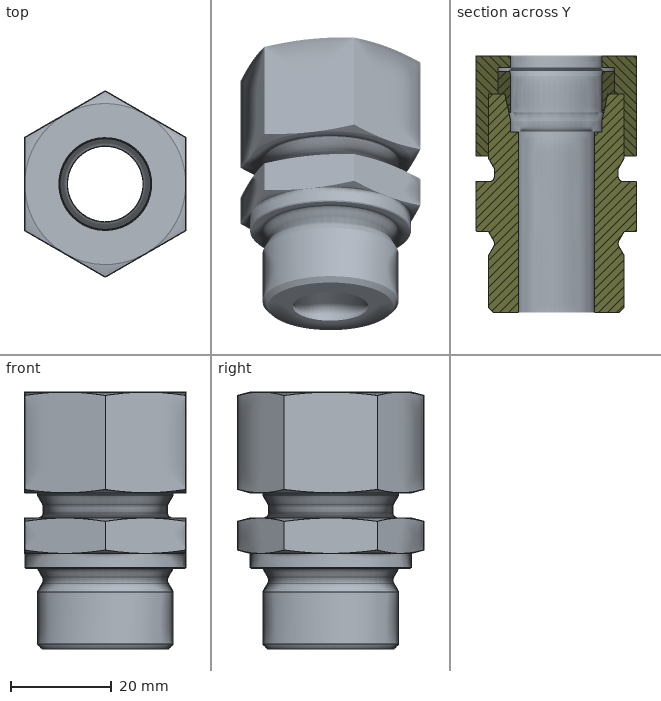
import cadquery as cq
import math


total_height = 51.0
nut_height = 20.0
body_hex_top = 26.0
body_hex_bottom = 18.95
collar_bottom = 16.0
upper_thread_bottom = 30.55
body_top = 43.4
tube_stop = 35.9
ring_top = 47.95
ring_tip = 39.7
nut_bottom = total_height - nut_height

hex_across_flats = 32.05
hex_face_diameter = 32.0
hex_chamfer_angle = 15.0

thread_radius = 27.0 / 2
neck_radius = 24.7 / 2
collar_radius = hex_face_diameter / 2
collar_edge_chamfer = 0.2
stud_end_chamfer = 0.95
runout_angle = 30.0
groove_root_radius = 1.3
neck_root_radius = 0.65
neck_fillet = 1.0
flow_radius = 15.0 / 2
tube_radius = 18.0 / 2
seat_mouth_radius = 20.3 / 2
taper_angle = 12.0

lip_height = 2.4
lip_chamfer = 0.2
lip_radius = tube_radius
lip_bottom = total_height - lip_height

ring_collar_radius = 23.0 / 2
ring_lead_in_depth = 1.0

runout_sin = math.sin(math.radians(runout_angle))
runout_cos = math.cos(math.radians(runout_angle))
runout_tan = math.tan(math.radians(runout_angle))
taper_tan = math.tan(math.radians(taper_angle))


def runout(root_radius):
    """Shape of a thread run-out whose cone blends into the neck through an arc.

    Returns the radius where cone and arc meet, the height of the arc and the height of the cone.
    """
    blend_radius = neck_radius + root_radius * (1 - runout_cos)
    arc_height = root_radius * runout_sin
    cone_height = (thread_radius - blend_radius) / runout_tan
    return blend_radius, arc_height, cone_height


def hex_block(bottom, top):
    """Hexagon with corners on the Y axis and both ends chamfered by a cone."""
    height = top - bottom
    corner_radius = hex_across_flats / math.sqrt(3)
    face_radius = hex_face_diameter / 2
    drop = (corner_radius - face_radius) * math.tan(math.radians(hex_chamfer_angle))
    prism = (
        cq.Workplane("XY", origin=(0, 0, bottom))
        .transformed(rotate=(0, 0, 90))
        .polygon(6, 2 * corner_radius)
        .extrude(height)
    )
    envelope = (
        cq.Workplane("XZ")
        .moveTo(0, bottom)
        .lineTo(face_radius, bottom)
        .lineTo(corner_radius, bottom + drop)
        .lineTo(corner_radius, top - drop)
        .lineTo(face_radius, top)
        .lineTo(0, top)
        .close()
        .revolve(360, (0, 0), (0, 1))
    )
    return prism.intersect(envelope)


def stud_outside():
    """Turned outer shape of the stud body, without its hexagon."""
    groove_blend, groove_arc, groove_cone = runout(groove_root_radius)
    groove_middle = collar_bottom - groove_cone - groove_arc
    neck_blend, neck_arc, neck_cone = runout(neck_root_radius)
    neck_cone_bottom = upper_thread_bottom - neck_cone
    neck_mid_angle = math.radians(runout_angle / 2)
    neck_arc_bottom = neck_cone_bottom - neck_arc
    neck_arc_middle = (
        neck_radius + neck_root_radius * (1 - math.cos(neck_mid_angle)),
        neck_arc_bottom + neck_root_radius * math.sin(neck_mid_angle),
    )
    fillet_inset = neck_fillet * (1 - math.sqrt(0.5))
    return (
        cq.Workplane("XZ")
        .moveTo(0, 0)
        .lineTo(thread_radius - stud_end_chamfer, 0)
        .lineTo(thread_radius, stud_end_chamfer)
        .lineTo(thread_radius, groove_middle - groove_arc - groove_cone)
        .lineTo(groove_blend, groove_middle - groove_arc)
        .threePointArc((neck_radius, groove_middle), (groove_blend, groove_middle + groove_arc))
        .lineTo(thread_radius, collar_bottom)
        .lineTo(collar_radius - collar_edge_chamfer, collar_bottom)
        .lineTo(collar_radius, collar_bottom + collar_edge_chamfer)
        .lineTo(collar_radius, body_hex_bottom)
        .lineTo(neck_radius + neck_fillet, body_hex_bottom)
        .lineTo(neck_radius + neck_fillet, body_hex_top)
        .threePointArc(
            (neck_radius + fillet_inset, body_hex_top + fillet_inset),
            (neck_radius, body_hex_top + neck_fillet),
        )
        .lineTo(neck_radius, neck_arc_bottom)
        .threePointArc(neck_arc_middle, (neck_blend, neck_cone_bottom))
        .lineTo(thread_radius, upper_thread_bottom)
        .lineTo(thread_radius, body_top)
        .lineTo(0, body_top)
        .close()
        .revolve(360, (0, 0), (0, 1))
    )


def stud_bore():
    """Flow bore, tube socket and the conical seat for the cutting ring."""
    seat_bottom = body_top - (seat_mouth_radius - tube_radius) / taper_tan
    return (
        cq.Workplane("XZ")
        .moveTo(0, 0)
        .lineTo(flow_radius, 0)
        .lineTo(flow_radius, tube_stop)
        .lineTo(tube_radius, tube_stop)
        .lineTo(tube_radius, seat_bottom)
        .lineTo(seat_mouth_radius, body_top)
        .lineTo(0, body_top)
        .close()
        .revolve(360, (0, 0), (0, 1))
    )


def make_stud_body():
    return stud_outside().union(hex_block(body_hex_bottom, body_hex_top)).cut(stud_bore())


def make_union_nut():
    """Hexagon nut with a thread bore, a chamber for the ring and a lip around the tube."""
    cavity = (
        cq.Workplane("XZ")
        .moveTo(0, nut_bottom)
        .lineTo(thread_radius, nut_bottom)
        .lineTo(thread_radius, body_top)
        .lineTo(ring_collar_radius, body_top)
        .lineTo(ring_collar_radius, lip_bottom)
        .lineTo(lip_radius, lip_bottom)
        .lineTo(lip_radius, total_height - lip_chamfer)
        .lineTo(lip_radius + lip_chamfer, total_height)
        .lineTo(0, total_height)
        .close()
        .revolve(360, (0, 0), (0, 1))
    )
    return hex_block(nut_bottom, total_height).cut(cavity)


def make_cutting_ring():
    """Ring with a collar on the stud's top face and a tapered nose in its conical seat."""
    tip_radius = seat_mouth_radius - (body_top - ring_tip) * taper_tan
    return (
        cq.Workplane("XZ")
        .moveTo(tube_radius, ring_tip)
        .lineTo(tip_radius, ring_tip)
        .lineTo(seat_mouth_radius, body_top)
        .lineTo(ring_collar_radius, body_top)
        .lineTo(ring_collar_radius, ring_top)
        .lineTo(tube_radius + ring_lead_in_depth * taper_tan, ring_top)
        .lineTo(tube_radius, ring_top - ring_lead_in_depth)
        .close()
        .revolve(360, (0, 0), (0, 1))
    )


stud_body = make_stud_body()
union_nut = make_union_nut()
cutting_ring = make_cutting_ring()

result = cq.Compound.makeCompound([stud_body.val(), union_nut.val(), cutting_ring.val()])